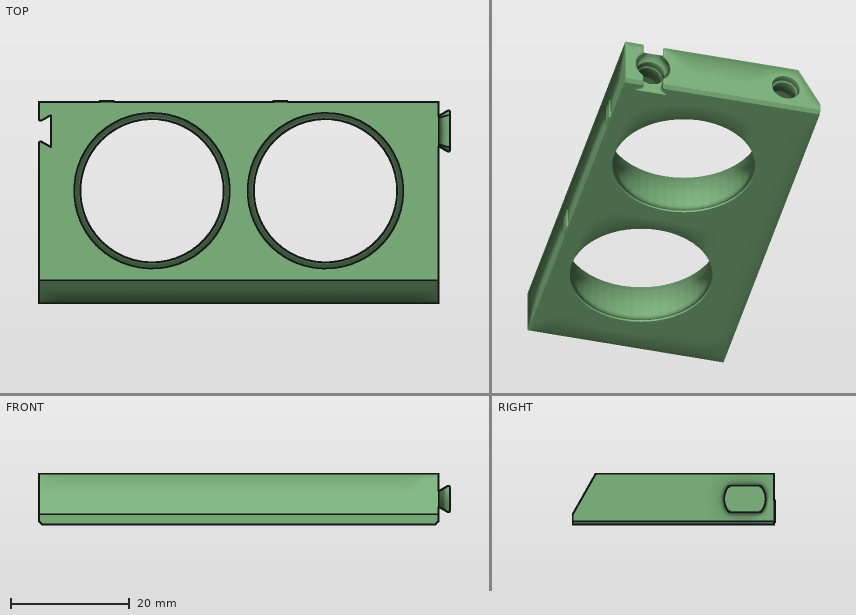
import cadquery as cq
import math

OVERALL_LENGTH = 69.3

PLATE_LENGTH = 67.35
PLATE_DEPTH = 33.95
PLATE_HEIGHT = 8.6
FRONT_EDGE_HEIGHT = 1.7
FRONT_SLOPE_RUN = 3.9
END_CHAMFER = 0.55

BORE_DIAMETER = 26.25
LIP_OPENING_DIAMETER = 24.1
LIP_THICKNESS = 0.35
BORE_SPACING = 29.25
BORE_Y = 19.0
BORE_CENTERS_X = [PLATE_LENGTH / 2 + side * BORE_SPACING / 2 for side in (-1, 1)]

COUPLING_Y = 29.0
COUPLING_Z = PLATE_HEIGHT / 2
FLANK_ANGLE = math.radians(30)
FLANK_SLOPE = math.tan(FLANK_ANGLE)
PLUG_LENGTH = OVERALL_LENGTH - PLATE_LENGTH
PLUG_CONE_RADIUS = 2.55
PLUG_HALF_WIDTH = 1.3
COUPLING_ROUNDING = 0.3
SIDE_CLEARANCE = 0.2
DEPTH_CLEARANCE = 0.1
SOCKET_DEPTH = PLUG_LENGTH + DEPTH_CLEARANCE
SOCKET_CONE_RADIUS = PLUG_CONE_RADIUS + SIDE_CLEARANCE
SOCKET_HALF_WIDTH = PLUG_HALF_WIDTH + SIDE_CLEARANCE

END_HOLE_Y = 6.0
END_HOLE_DIAMETER = 4.85
END_HOLE_STEP_DEPTH = 1.1
END_HOLE_INNER_DIAMETER = 4.0
END_HOLE_DEPTH = 3.45

PAD_WIDTH = 2.35
PAD_HEIGHT = 3.75
PAD_BOTTOM_Z = 0.35
PAD_THICKNESS = 0.2
PAD_OFFSET_FROM_BORE = -7.6


def make_plate():
    """Plate with a sloped front and chamfered lower end edges."""
    profile = [
        (0, 0),
        (PLATE_DEPTH, 0),
        (PLATE_DEPTH, PLATE_HEIGHT),
        (FRONT_SLOPE_RUN, PLATE_HEIGHT),
        (0, FRONT_EDGE_HEIGHT),
    ]
    plate = cq.Workplane("YZ").polyline(profile).close().extrude(PLATE_LENGTH)
    return plate.faces("<Z").edges("|Y").chamfer(END_CHAMFER)


def cylinder_along_x(diameter, length, x, y, z):
    return cq.Workplane("YZ", origin=(x, y, z)).circle(diameter / 2).extrude(length)


def cylinder_along_z(diameter, length, x, y, z):
    return cq.Workplane("XY", origin=(x, y, z)).circle(diameter / 2).extrude(length)


def cone_along_x(base_radius, length):
    """Cone about the X axis that widens from x = 0 to x = length."""
    profile = [(0, 0), (0, base_radius), (length, base_radius + length * FLANK_SLOPE), (length, 0)]
    return cq.Workplane("XY").polyline(profile).close().revolve(360, (0, 0), (1, 0))


def dovetail_along_z(half_width, length, height):
    """Dovetail bar running along Z that widens in Y from x = 0 to x = length."""
    wide_half_width = half_width + length * FLANK_SLOPE
    profile = [
        (0, -half_width),
        (length, -wide_half_width),
        (length, wide_half_width),
        (0, half_width),
    ]
    return cq.Workplane("XY").polyline(profile).close().extrude(height / 2, both=True)


def make_plug():
    """Cone with two flats: the overlap of a cone and a dovetail lying along Y."""
    cone = cone_along_x(PLUG_CONE_RADIUS, PLUG_LENGTH).faces(">X").edges().fillet(COUPLING_ROUNDING)
    bar_length = 4 * PLUG_CONE_RADIUS
    bar = dovetail_along_z(PLUG_HALF_WIDTH, PLUG_LENGTH, bar_length)
    bar = bar.faces(">X").edges("|Z").fillet(COUPLING_ROUNDING)
    bar = bar.rotate((0, 0, 0), (1, 0, 0), 90)
    return cone.intersect(bar).translate((PLATE_LENGTH, COUPLING_Y, COUPLING_Z))


def socket_outline(half_width):
    """Open outline from the X axis outwards, round the mouth lip, and down the flank to the floor."""
    lip_center_y = half_width + COUPLING_ROUNDING / FLANK_SLOPE
    flank_start_x = COUPLING_ROUNDING * (1 + math.sin(FLANK_ANGLE))
    flank_start_y = half_width + flank_start_x * FLANK_SLOPE
    floor_half_width = half_width + SOCKET_DEPTH * FLANK_SLOPE
    return (
        cq.Workplane("XY")
        .lineTo(0, lip_center_y)
        .threePointArc((COUPLING_ROUNDING, lip_center_y - COUPLING_ROUNDING), (flank_start_x, flank_start_y))
        .lineTo(SOCKET_DEPTH, floor_half_width)
        .lineTo(SOCKET_DEPTH, 0)
    )


def cut_socket(plate):
    """Dovetail slot through the full height plus an undercut cone, both with a rounded mouth."""
    half_slot = socket_outline(SOCKET_HALF_WIDTH).close().extrude(PLATE_HEIGHT, both=True)
    slot = half_slot.union(half_slot.mirror("XZ"))
    cone = socket_outline(SOCKET_CONE_RADIUS).close().revolve(360, (0, 0), (1, 0))
    place = (0, COUPLING_Y, COUPLING_Z)
    return plate.cut(slot.translate(place)).cut(cone.translate(place))


def cut_bores(plate):
    for x in BORE_CENTERS_X:
        plate = plate.cut(cylinder_along_z(LIP_OPENING_DIAMETER, PLATE_HEIGHT, x, BORE_Y, 0))
        plate = plate.cut(cylinder_along_z(BORE_DIAMETER, PLATE_HEIGHT, x, BORE_Y, LIP_THICKNESS))
    return plate


def cut_end_holes(plate):
    """One hole from the socket floor and one from the end face."""
    for start_x, y in ((SOCKET_DEPTH, COUPLING_Y), (0, END_HOLE_Y)):
        plate = plate.cut(cylinder_along_x(END_HOLE_DIAMETER, END_HOLE_STEP_DEPTH, start_x, y, COUPLING_Z))
        plate = plate.cut(cylinder_along_x(END_HOLE_INNER_DIAMETER, END_HOLE_DEPTH, start_x, y, COUPLING_Z))
    return plate


def add_pads(plate):
    for bore_x in BORE_CENTERS_X:
        pad = cq.Workplane("XY").box(
            PAD_WIDTH, 2 * PAD_THICKNESS, PAD_HEIGHT, centered=(True, True, False)
        )
        plate = plate.union(pad.translate((bore_x + PAD_OFFSET_FROM_BORE, PLATE_DEPTH, PAD_BOTTOM_Z)))
    return plate


result = make_plate()
result = cut_bores(result)
result = cut_socket(result)
result = cut_end_holes(result)
result = result.union(make_plug())
result = add_pads(result)